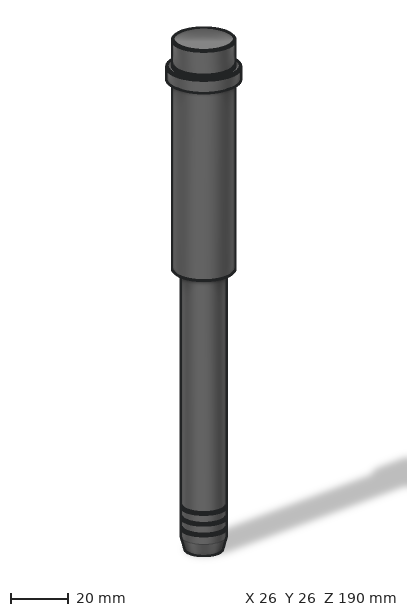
import cadquery as cq
import math

total_length = 190.0

body_radius = 11.0
body_length = 86.0
body_chamfer = 0.5

flange_radius = 13.0
flange_top_offset = 10.0
flange_thickness = 5.0
flange_chamfer = 0.5

relief_depth = 0.5

pin_radius = 8.0
pin_shoulder_chamfer = 1.0

tip_length = 5.0
tip_taper_angle = 15.0
tip_fillet = 0.5

groove_count = 3
groove_pitch = 4.0
groove_depth = 0.5
first_groove_height = 8.5

body_bottom = total_length - body_length
flange_top = total_length - flange_top_offset
flange_bottom = flange_top - flange_thickness
tip_radius = pin_radius - tip_length * math.tan(math.radians(tip_taper_angle))


def cylinder(radius, bottom, height):
    return cq.Workplane("XY").workplane(offset=bottom).circle(radius).extrude(height)


def vee_groove(surface_radius, depth, height):
    """Right-angled V ring that cuts a groove into a cylinder, centred at the given height."""
    root_radius = surface_radius - depth
    outside_radius = surface_radius + depth
    return (
        cq.Workplane("XZ")
        .moveTo(root_radius, height)
        .lineTo(outside_radius, height + 2 * depth)
        .lineTo(outside_radius, height - 2 * depth)
        .close()
        .revolve(360, (0, 0, 0), (0, 1, 0))
    )


def make_body():
    body = cylinder(body_radius, body_bottom, body_length)
    body = body.faces("<Z or >Z").chamfer(body_chamfer)
    upper_relief = vee_groove(body_radius, relief_depth, flange_top + relief_depth)
    lower_relief = vee_groove(body_radius, relief_depth, flange_bottom - relief_depth)
    return body.cut(upper_relief).cut(lower_relief)


def make_flange():
    flange = cylinder(flange_radius, flange_bottom, flange_thickness)
    return flange.faces(">Z").chamfer(flange_chamfer)


def make_pin():
    shaft = cylinder(pin_radius, tip_length, body_bottom - tip_length)
    shaft = shaft.faces(">Z").chamfer(pin_shoulder_chamfer)
    tip = (
        cq.Workplane("XY")
        .circle(tip_radius)
        .workplane(offset=tip_length)
        .circle(pin_radius)
        .loft(ruled=True)
    )
    tip = tip.faces("<Z").edges().fillet(tip_fillet)
    pin = shaft.union(tip)
    for index in range(groove_count):
        groove_height = first_groove_height + index * groove_pitch
        pin = pin.cut(vee_groove(pin_radius, groove_depth, groove_height))
    return pin


result = make_body().union(make_flange()).union(make_pin())